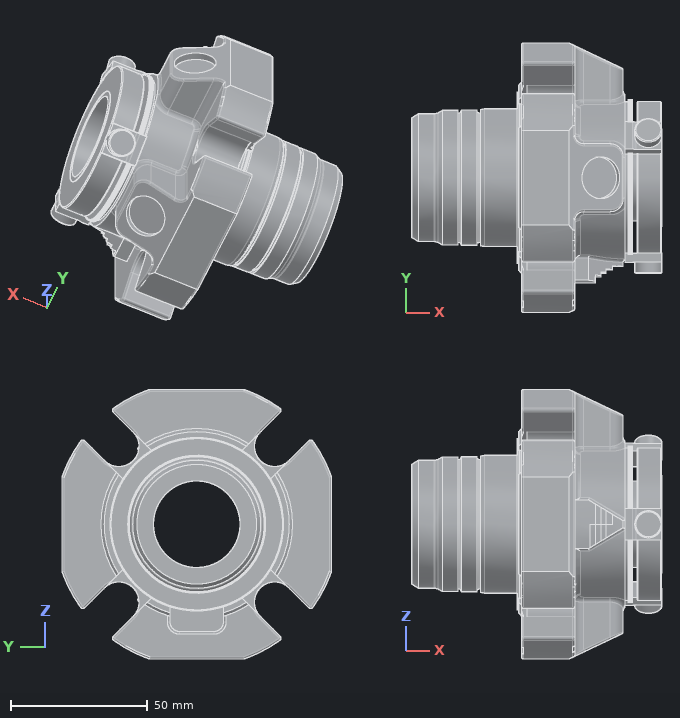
import cadquery as cq
import math


BORE_R = 31.75 / 2
NOSE_R = 22.0
SPIGOT_FRONT_R = 47.07 / 2
SPIGOT_GROOVE_R = 47.73 / 2
SPIGOT_MID_R = 49.61 / 2
SPIGOT_LAND_R = 49.81 / 2
SPIGOT_REAR_R = 50.75 / 2
GROOVE_CORNER = 0.3
NOSE_LENGTH = 2.5
FRONT_END = 8.3
MID_RAMP = 9.7
MID_START = 11.4
MID_END = 17.1
LAND_RAMP = 17.8
LAND_START = 18.3
LAND_END = 24.1
REAR_GROOVE_FLOOR = 24.7
REAR_RAMP = 25.3
REAR_START = 26.8

DISC_FRONT = 38.8
DISC_R = 63.0 / 2
HUB_GROOVE_R = 31.0
HUB_GROOVE_START = 39.4
HUB_GROOVE_END = 39.9
HUB_SHOULDER = 41.0
RIM_FRONT = 39.3
RIM_INNER_R = 31.9
RIM_TOP_R = 34.0
RIM_FOOT_R = 35.2
FLANGE_FRONT = 40.4
FLANGE_BACK = 60.0
FLANGE_WIDTH = 99.06
FLANGE_R = 52.5
FLANGE_ROUND = 0.8
SLOT_WIDTH = 14.8
SLOT_CENTRE_R = 40.5
SLOT_FLOOR_START = 42.4
SLOT_CORNER_R = 1.0
SLOT_DIRECTIONS = (45, 135, 225, 315)
FLAT_DIRECTIONS = (0, 90, 180, 270)

NOTCH_WIDTH = 19.6
NOTCH_REACH = 39.4
NOTCH_DEPTH = 2.0
NOTCH_CORNER_R = 3.5
NOTCH_BEVEL = 1.0

BODY_R = 60.15 / 2
BODY_BACK = 78.4

RIB_HALF_WIDTH = 12.5
RIB_BACK = 77.75
RIB_CORNER_R = 4.75
RIB_ROOT_R = 3.2
RIB_TOP_ROUND = 0.8
RIB_FOOT_FILLET = 2.0
SLOPE_START = 57.9
SLOPE_ANGLE = 25.5
RIB_HOLE_D = 15.34
RIB_HOLE_X = 69.55
RIB_HOLE_DEPTH = 2.7
RIB_DIRECTIONS = (0, 180, 270)

ARROW_HALF_WIDTH = 9.0
ARROW_SHOULDER = 65.0
ARROW_TIP = 77.7
ARROW_TIP_HALF_WIDTH = 1.3
ARROW_FOOT_FILLET = 1.2
ARROW_LEVELS = (38.7, 36.5, 35.1, 33.9, 32.65)
ARROW_STEPS = (65.5, 67.5, 69.7, 71.5, 73.9)

COLLAR_R = 28.0
SEAL_R = 57.68 / 2
SEAL_START = 79.5
SEAL_END = 81.2
SEAL_LAYERS = 3
GAP_R = 31.85 / 2
RING_START = 82.8
RING_END = 91.8
RING_R = 56.16 / 2
RING_CHAMFER = 0.4
CORE_R = 35.76 / 2
PART_LENGTH = 92.0

PAD_WIDTH = 11.7
PAD_INNER = 27.7
PAD_OUTER = 30.9
PAD_RAISED = 31.15
PAD_SLOPE_END = 82.4
PAD_END = 91.9
BUTTON_D = 10.0
BUTTON_TOP = 35.2
BUTTON_CHAMFER = 0.4
PAD_DIRECTIONS = (-30, 90, 210)

OVERLAP = 1.0
EDGE_TOLERANCE = 0.01

X_AXIS = ((0, 0, 0), (1, 0, 0))
HALF_WIDTH = FLANGE_WIDTH / 2


def turned(points):
    """Revolve (x, radius) points about the X axis, closed along the axis."""
    outline = [(points[0][0], 0)] + points + [(points[-1][0], 0)]
    return cq.Workplane("XY").polyline(outline).close().revolve(360, (0, 0), (1, 0))


def cylinder(radius, start, end):
    return turned([(start, radius), (end, radius)])


def box(start, end, y_range, z_range):
    size = (end - start, y_range[1] - y_range[0], z_range[1] - z_range[0])
    corner = (start, y_range[0], z_range[0])
    return cq.Workplane("XY").box(*size, centered=False).translate(corner)


def around(shape, angle):
    return shape.rotate(*X_AXIS, angle)


def spigot():
    """Stepped spigot with narrow grooves between its lands."""
    lip = SPIGOT_GROOVE_R - GROOVE_CORNER
    return turned([
        (0, NOSE_R), (NOSE_LENGTH, SPIGOT_FRONT_R),
        (FRONT_END, SPIGOT_FRONT_R), (FRONT_END + GROOVE_CORNER, lip),
        (MID_RAMP, SPIGOT_GROOVE_R), (MID_START, SPIGOT_MID_R), (MID_END, SPIGOT_MID_R),
        (MID_END, SPIGOT_GROOVE_R), (LAND_RAMP, SPIGOT_GROOVE_R),
        (LAND_START, SPIGOT_LAND_R), (LAND_END, SPIGOT_LAND_R),
        (LAND_END, SPIGOT_GROOVE_R + GROOVE_CORNER), (REAR_GROOVE_FLOOR, SPIGOT_GROOVE_R),
        (REAR_RAMP, SPIGOT_GROOVE_R), (REAR_RAMP, SPIGOT_REAR_R - GROOVE_CORNER),
        (REAR_START, SPIGOT_REAR_R), (FLANGE_FRONT, SPIGOT_REAR_R),
    ])


def slot():
    """Round-bottomed slot along +Z, running out of the flange."""
    half = SLOT_WIDTH / 2
    walls = box(FLANGE_FRONT, FLANGE_BACK, (-half, half), (SLOT_CENTRE_R, FLANGE_WIDTH))
    floor = cylinder(half, FLANGE_FRONT, FLANGE_BACK).translate((0, 0, SLOT_CENTRE_R))
    return walls.union(floor)


def slope_cutter():
    """Everything above the sloping plane that trims the flange back and the rib."""
    run = PART_LENGTH
    drop = run * math.tan(math.radians(SLOPE_ANGLE))
    end = SLOPE_START + run
    outline = [(SLOPE_START, HALF_WIDTH), (end, HALF_WIDTH - drop), (end, HALF_WIDTH)]
    return cq.Workplane("XZ").polyline(outline).close().extrude(HALF_WIDTH, both=True)


class LobeTips(cq.Selector):
    """Edges at the outer corners of the slots."""

    def filter(self, objects):
        def is_tip(edge):
            centre = edge.Center()
            off_flat = max(abs(centre.y), abs(centre.z)) < HALF_WIDTH - SLOT_CORNER_R
            return off_flat and math.hypot(centre.y, centre.z) > FLANGE_R - EDGE_TOLERANCE

        return [edge for edge in objects if is_tip(edge)]


def lobes():
    flange = cylinder(FLANGE_R, FLANGE_FRONT, FLANGE_BACK)
    square = (-HALF_WIDTH, HALF_WIDTH)
    flange = flange.intersect(box(FLANGE_FRONT, FLANGE_BACK, square, square))
    for angle in SLOT_DIRECTIONS:
        flange = flange.cut(around(slot(), angle))
    flange = flange.edges("|X").edges(LobeTips()).fillet(SLOT_CORNER_R)
    for angle in FLAT_DIRECTIONS:
        flange = flange.cut(around(slope_cutter(), angle))
    return flange.faces("<X or >X").edges().fillet(FLANGE_ROUND)


def front_rim():
    """Raised rim on the lobe faces, interrupted by the slots."""
    embedded = FLANGE_FRONT + OVERLAP
    rim = turned([(RIM_FRONT, RIM_TOP_R), (FLANGE_FRONT, RIM_FOOT_R), (embedded, RIM_FOOT_R)])
    return rim.cut(cylinder(RIM_INNER_R, RIM_FRONT, FLANGE_FRONT))


def hub():
    """Disc behind the spigot with a narrow groove and a low shoulder."""
    return turned([
        (DISC_FRONT, DISC_R), (HUB_GROOVE_START, DISC_R),
        (HUB_GROOVE_START, HUB_GROOVE_R), (HUB_GROOVE_END, HUB_GROOVE_R),
        (HUB_GROOVE_END, DISC_R), (HUB_SHOULDER, DISC_R),
        (HUB_SHOULDER, RIM_INNER_R), (FLANGE_BACK, RIM_INNER_R),
    ])


def slot_mouth():
    """Front part of a slot, cut straight down to the central disc."""
    half = SLOT_WIDTH / 2
    return box(RIM_FRONT, SLOT_FLOOR_START, (-half, half), (0, SLOT_CENTRE_R))


def notch():
    half = NOTCH_WIDTH / 2
    pocket = box(RIM_FRONT, FLANGE_FRONT + NOTCH_DEPTH, (-half, half), (-NOTCH_REACH, 0))
    return pocket.edges("|X and <Z").fillet(NOTCH_CORNER_R)


def notch_bevel():
    """Cutter for the bevelled edge of the notch on the lobe face."""
    half = NOTCH_WIDTH / 2 + NOTCH_BEVEL
    reach = NOTCH_REACH + NOTCH_BEVEL
    mouth = box(RIM_FRONT, FLANGE_FRONT + NOTCH_BEVEL, (-half, half), (-reach, 0))
    mouth = mouth.edges("|X and <Z").fillet(NOTCH_CORNER_R + NOTCH_BEVEL)
    return mouth.faces(">X").edges("not >Z").chamfer(NOTCH_BEVEL)


def rib():
    """Rib on the +Z side, flared where it leaves the flange."""
    start = FLANGE_BACK - OVERLAP
    wide = RIB_HALF_WIDTH + RIB_ROOT_R
    outline = (
        cq.Workplane("XY")
        .moveTo(start, -wide)
        .lineTo(FLANGE_BACK, -wide)
        .radiusArc((FLANGE_BACK + RIB_ROOT_R, -RIB_HALF_WIDTH), RIB_ROOT_R)
        .lineTo(RIB_BACK - RIB_CORNER_R, -RIB_HALF_WIDTH)
        .radiusArc((RIB_BACK, -RIB_HALF_WIDTH + RIB_CORNER_R), -RIB_CORNER_R)
        .lineTo(RIB_BACK, RIB_HALF_WIDTH - RIB_CORNER_R)
        .radiusArc((RIB_BACK - RIB_CORNER_R, RIB_HALF_WIDTH), -RIB_CORNER_R)
        .lineTo(FLANGE_BACK + RIB_ROOT_R, RIB_HALF_WIDTH)
        .radiusArc((FLANGE_BACK, wide), RIB_ROOT_R)
        .lineTo(start, wide)
        .close()
    )
    solid = outline.extrude(HALF_WIDTH).cut(slope_cutter())
    tilt = math.radians(SLOPE_ANGLE)
    slope = cq.selectors.DirectionMinMaxSelector(cq.Vector(math.sin(tilt), 0, math.cos(tilt)))
    return solid.faces(slope).edges("not <X").fillet(RIB_TOP_ROUND)


def rib_hole():
    """Shallow round recess square to the sloping rib top."""
    drop = (RIB_HOLE_X - SLOPE_START) * math.tan(math.radians(SLOPE_ANGLE))
    tilt = math.radians(SLOPE_ANGLE)
    normal = (math.sin(tilt), 0, math.cos(tilt))
    plane = cq.Plane((RIB_HOLE_X, 0, HALF_WIDTH - drop), (0, 1, 0), normal)
    return cq.Workplane(plane).circle(RIB_HOLE_D / 2).extrude(RIB_HOLE_DEPTH, both=True)


def arrow_half(side, step_positions, levels):
    """One half of the arrow; side is +1 for +Z and -1 for -Z."""
    start = FLANGE_BACK - OVERLAP
    plan = [
        (start, 0), (start, side * ARROW_HALF_WIDTH), (ARROW_SHOULDER, side * ARROW_HALF_WIDTH),
        (ARROW_TIP, side * ARROW_TIP_HALF_WIDTH), (ARROW_TIP, 0),
    ]
    wedge = cq.Workplane("XZ").polyline(plan).close().extrude(HALF_WIDTH)
    bounds = [start] + list(step_positions) + [ARROW_TIP]
    profile = []
    for level, left, right in zip(levels, bounds, bounds[1:]):
        profile += [(left, level), (right, level)]
    return wedge.intersect(turned(profile))


def arrow():
    upper = arrow_half(1, ARROW_STEPS[1:], ARROW_LEVELS)
    lower = arrow_half(-1, ARROW_STEPS[:-1], ARROW_LEVELS)
    blank = cylinder(BODY_R, FLANGE_BACK - OVERLAP, PART_LENGTH).union(upper).union(lower)
    blank = blank.edges(FootEdges()).fillet(ARROW_FOOT_FILLET)
    return blank.intersect(cylinder(FLANGE_R, FLANGE_BACK - OVERLAP, BODY_BACK))


class FootEdges(cq.Selector):
    """Edges that lie on the round body where ribs and flange rise from it."""

    def filter(self, objects):
        def is_foot(edge):
            points = [edge.positionAt(0), edge.positionAt(0.5), edge.positionAt(1)]
            on_body = all(abs(math.hypot(p.y, p.z) - BODY_R) < EDGE_TOLERANCE for p in points)
            return on_body and FLANGE_BACK - EDGE_TOLERANCE < points[1].x < BODY_BACK

        return [edge for edge in objects if is_foot(edge)]


def ribbed_body():
    """Round body and ribs; the long blank lets the foot fillet run out past the body end."""
    start = FLANGE_BACK - OVERLAP
    part = cylinder(BODY_R, start, PART_LENGTH)
    part = part.union(cylinder(BODY_R + RIB_FOOT_FILLET + OVERLAP, start, FLANGE_BACK))
    for angle in RIB_DIRECTIONS:
        part = part.union(around(rib(), angle))
    part = part.edges(FootEdges()).fillet(RIB_FOOT_FILLET)
    return part.intersect(cylinder(FLANGE_R, start, BODY_BACK))


def rear_end():
    """Collar, layered seal, gap, ring and core end."""
    seal_groove_r = (COLLAR_R + SEAL_R) / 2
    pitch = (SEAL_END - SEAL_START) / (2 * SEAL_LAYERS - 1)
    points = [(BODY_BACK - OVERLAP, COLLAR_R), (SEAL_START, COLLAR_R)]
    for layer in range(2 * SEAL_LAYERS - 1):
        radius = SEAL_R if layer % 2 == 0 else seal_groove_r
        left = SEAL_START + layer * pitch
        points += [(left, radius), (left + pitch, radius)]
    points += [
        (SEAL_END, GAP_R), (RING_START, GAP_R),
        (RING_START, RING_R - RING_CHAMFER), (RING_START + RING_CHAMFER, RING_R),
        (RING_END - RING_CHAMFER, RING_R), (RING_END, RING_R - RING_CHAMFER),
        (RING_END, CORE_R), (PART_LENGTH, CORE_R),
    ]
    return turned(points)


def pad():
    """Strap pad with its button, on the +Z side."""
    half = PAD_WIDTH / 2
    profile = [
        (BODY_BACK, PAD_INNER), (BODY_BACK, PAD_RAISED), (SEAL_END, PAD_RAISED),
        (PAD_SLOPE_END, PAD_OUTER), (PAD_END, PAD_OUTER), (PAD_END, PAD_INNER),
    ]
    plate = cq.Workplane("XZ").polyline(profile).close().extrude(half, both=True)
    button_x = PART_LENGTH - BUTTON_D / 2
    height = BUTTON_TOP - PAD_INNER
    button = cq.Workplane("XY", (button_x, 0, PAD_INNER)).circle(BUTTON_D / 2).extrude(height)
    return plate.union(button.faces(">Z").edges().chamfer(BUTTON_CHAMFER))


def build():
    flange = lobes().cut(notch_bevel()).union(front_rim())
    for angle in SLOT_DIRECTIONS:
        flange = flange.cut(around(slot_mouth(), angle))
    flange = flange.cut(notch())
    part = flange.union(hub()).union(spigot()).union(ribbed_body()).union(arrow())
    for angle in RIB_DIRECTIONS:
        part = part.cut(around(rib_hole(), angle))
    part = part.union(rear_end())
    for angle in PAD_DIRECTIONS:
        part = part.union(around(pad(), angle))
    return part.cut(cylinder(BORE_R, 0, PART_LENGTH))


result = build()